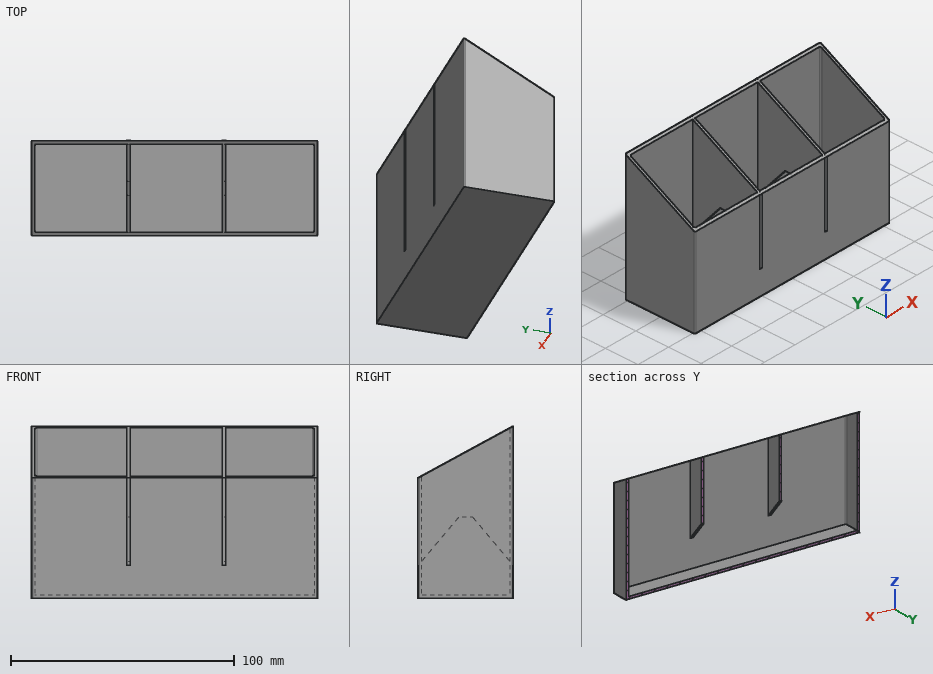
import cadquery as cq

LENGTH = 128.0
DEPTH = 42.6
BACK_HEIGHT = 77.0
FRONT_HEIGHT = 53.9
WALL = 1.5
FLOOR = WALL
OUTER_CORNER_RADIUS = 0.6
INNER_CORNER_RADIUS = 0.8

COMPARTMENTS = 3
DIVIDER_PITCH = LENGTH / COMPARTMENTS
DIVIDER_PROUD = 0.06
DIVIDER_FOOT_Z = 14.7
ARCH_TOP_Z = 36.5
ARCH_TOP_WIDTH = 6.1


def rim_height(y):
    """Height of the sloping rim plane at depth y."""
    return FRONT_HEIGHT + (BACK_HEIGHT - FRONT_HEIGHT) * y / DEPTH


def make_shell():
    """Hollow box with rounded vertical corners inside and out."""
    body = cq.Workplane("XY").box(LENGTH, DEPTH, BACK_HEIGHT, centered=False)
    body = body.edges("|Z").fillet(OUTER_CORNER_RADIUS)
    cavity = (
        cq.Workplane("XY", origin=(WALL, WALL, FLOOR))
        .box(LENGTH - 2 * WALL, DEPTH - 2 * WALL, BACK_HEIGHT, centered=False)
        .edges("|Z")
        .fillet(INNER_CORNER_RADIUS)
    )
    side_profile = [
        (0, 0),
        (DEPTH, 0),
        (DEPTH, BACK_HEIGHT),
        (0, FRONT_HEIGHT),
    ]
    envelope = cq.Workplane("YZ").polyline(side_profile).close().extrude(LENGTH)
    return body.cut(cavity).intersect(envelope)


def make_divider(x):
    """Divider starting at x, with a flat-topped arch open to the floor."""
    front = -DIVIDER_PROUD
    back = DEPTH + DIVIDER_PROUD
    arch_front = (DEPTH - ARCH_TOP_WIDTH) / 2
    arch_back = (DEPTH + ARCH_TOP_WIDTH) / 2
    profile = [
        (front, DIVIDER_FOOT_Z),
        (arch_front, ARCH_TOP_Z),
        (arch_back, ARCH_TOP_Z),
        (back, DIVIDER_FOOT_Z),
        (back, BACK_HEIGHT),
        (DEPTH, BACK_HEIGHT),
        (front, rim_height(front)),
    ]
    return cq.Workplane("YZ", origin=(x, 0, 0)).polyline(profile).close().extrude(WALL)


result = make_shell()
for index in range(1, COMPARTMENTS):
    result = result.union(make_divider(index * DIVIDER_PITCH))